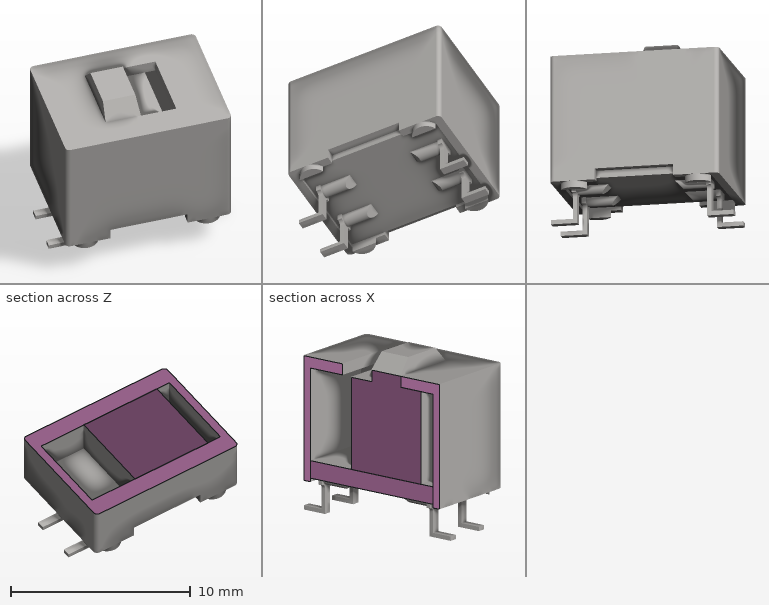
import cadquery as cq
import math

housing_x = 7.26
housing_y = 9.63
housing_height = 7.25
corner_radius = 0.25
wall = 0.5
roof = 0.67
window_x = 4.06
window_y = 4.1
cavity_x = 5.0
notch_y = 4.48
notch_height = 0.62

foot_chord = 1.48
foot_height = 0.37
foot_y = 3.54

base_bottom = 0.21
base_top = 1.25

terminal_pitch = 2.54
terminal_width = 0.47
terminal_thickness = 0.25
terminal_bottom = -1.87
terminal_inner_y = 3.71
terminal_tip_y = 5.2
shoulder_width = 1.03
shoulder_bottom = -0.16
shoulder_fillet = 0.23

ridge_radius = 0.42
ridge_end_y = 1.89

knob_rise = 0.9
knob_top_x = 2.43
knob_draft_inset = 0.08
plate_overhang = 1.45

inner_x = housing_x - 2 * wall
inner_y = housing_y - 2 * wall
ceiling = housing_height - roof
knob_y = window_y / 2
sides = (-1, 1)


def box_between(size_x, size_y, bottom, top):
    """Box centred on the Z axis, spanning the given heights."""
    return cq.Workplane("XY").workplane(offset=bottom).rect(size_x, size_y).extrude(top - bottom)


def make_foot(side_x, side_y):
    """Circular-segment foot, tangent to the outer wall face and flat on the inner one."""
    outer_x = side_x * housing_x / 2
    flat_x = side_x * inner_x / 2
    center_y = side_y * foot_y
    return (
        cq.Workplane("XY")
        .moveTo(flat_x, center_y - foot_chord / 2)
        .threePointArc((outer_x, center_y), (flat_x, center_y + foot_chord / 2))
        .close()
        .extrude(-foot_height)
    )


def make_housing():
    """Cover with a slider window, a base recess, side notches and four feet."""
    body = box_between(housing_x, housing_y, 0, housing_height).edges("|Z").fillet(corner_radius)
    base_recess = box_between(inner_x, inner_y, 0, base_top)
    cavity = box_between(cavity_x, inner_y, base_top, ceiling)
    window = box_between(window_x, window_y, ceiling, housing_height)
    side_notches = box_between(housing_x, notch_y, 0, notch_height)
    body = body.cut(base_recess).cut(cavity).cut(window).cut(side_notches)
    for side_x in sides:
        for side_y in sides:
            body = body.union(make_foot(side_x, side_y))
    return body


def make_terminal():
    """Terminal at X = 0 on the +Y side: L-shaped strip with a filleted shoulder."""
    outer_y = terminal_inner_y + terminal_thickness
    strip = (
        cq.Workplane("YZ")
        .moveTo(terminal_inner_y, base_bottom)
        .lineTo(terminal_inner_y, terminal_bottom)
        .lineTo(terminal_tip_y, terminal_bottom)
        .lineTo(terminal_tip_y, terminal_bottom + terminal_thickness)
        .lineTo(outer_y, terminal_bottom + terminal_thickness)
        .lineTo(outer_y, base_bottom)
        .close()
        .extrude(terminal_width / 2, both=True)
    )
    half_strip = terminal_width / 2
    half_shoulder = shoulder_width / 2
    fillet_end_x = half_strip + shoulder_fillet
    fillet_end_z = shoulder_bottom - shoulder_fillet
    arc_offset = shoulder_fillet * (1 - math.sqrt(0.5))
    arc_x = half_strip + arc_offset
    arc_z = shoulder_bottom - arc_offset
    shoulder = (
        cq.Workplane("XZ", origin=(0, outer_y, 0))
        .moveTo(-half_shoulder, base_bottom)
        .lineTo(-half_shoulder, shoulder_bottom)
        .lineTo(-fillet_end_x, shoulder_bottom)
        .threePointArc((-arc_x, arc_z), (-half_strip, fillet_end_z))
        .lineTo(half_strip, fillet_end_z)
        .threePointArc((arc_x, arc_z), (fillet_end_x, shoulder_bottom))
        .lineTo(half_shoulder, shoulder_bottom)
        .lineTo(half_shoulder, base_bottom)
        .close()
        .extrude(terminal_thickness)
    )
    return strip.union(shoulder)


def make_ridge():
    """Half-round ridge at X = 0 on the +Y side, its inner end sloped at 45 degrees."""
    round_bar = (
        cq.Workplane("XZ", origin=(0, terminal_inner_y, base_bottom))
        .circle(ridge_radius)
        .extrude(terminal_inner_y - ridge_end_y)
    )
    sloped_profile = (
        cq.Workplane("YZ", origin=(0, 0, base_bottom))
        .moveTo(ridge_end_y, 0)
        .lineTo(ridge_end_y + ridge_radius, -ridge_radius)
        .lineTo(terminal_inner_y, -ridge_radius)
        .lineTo(terminal_inner_y, 0)
        .close()
        .extrude(ridge_radius, both=True)
    )
    return round_bar.intersect(sloped_profile)


def make_base():
    """Base block with its four terminals and the ridges behind them."""
    body = box_between(inner_x, inner_y, base_bottom, base_top)
    contact = make_terminal().union(make_ridge())
    for side_x in sides:
        placed = contact.translate((side_x * terminal_pitch / 2, 0, 0))
        body = body.union(placed).union(placed.mirror("XZ"))
    return body


def make_slider():
    """Sliding block under the roof, with a tapered knob in the -Y half of the window."""
    center_y = -knob_y / 2
    plate = box_between(cavity_x, knob_y + 2 * plate_overhang, base_top, ceiling)
    neck = box_between(window_x, knob_y, ceiling, housing_height)
    knob_tip = (
        cq.Workplane("XY", origin=(0, 0, housing_height))
        .rect(window_x, knob_y)
        .workplane(offset=knob_rise)
        .rect(knob_top_x, knob_y - 2 * knob_draft_inset)
        .loft(ruled=True)
    )
    return plate.union(neck).union(knob_tip).translate((0, center_y, 0))


housing = make_housing()
base = make_base()
slider = make_slider()
result = cq.Compound.makeCompound([housing.val(), base.val(), slider.val()])